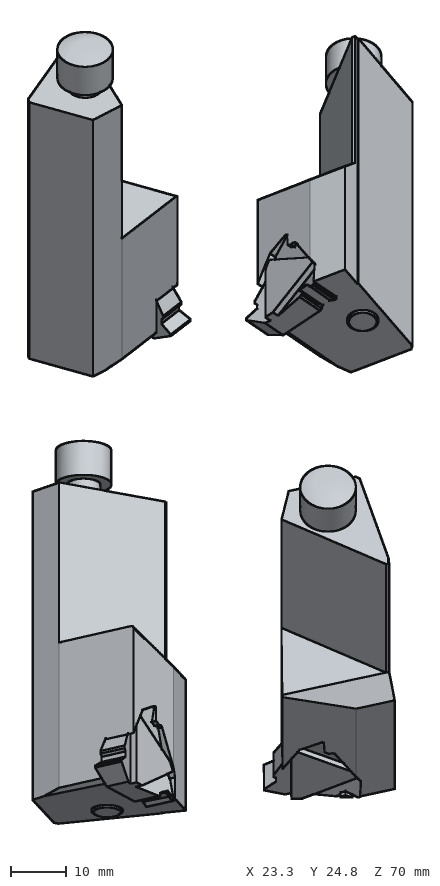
import cadquery as cq
import math

SETTING_ANGLE = 15.0
SIN_SET = math.sin(math.radians(SETTING_ANGLE))
COS_SET = math.cos(math.radians(SETTING_ANGLE))
TAN_SET = math.tan(math.radians(SETTING_ANGLE))

HOLDER_DEPTH = 24.8
HOLDER_TOP = 60.1
FRONT_RIGHT_X = 13.1
WALL_START = (16.1, 6.0)
REAR_FLAT_END_X = 7.4
EDGE_CHAMFER = 0.6
REAR_STEP_Y = 20.15
REAR_STEP = 0.2

LEDGE_Z = 29.5
LEDGE_REAR_Y = 21.1
DIAGONAL_LEFT_X = 0.85

BOTTOM_FRONT_Z = 1.05
BOTTOM_REAR_Z = 0.7
BEVEL_WIDTH = 1.2
BEVEL_TOP_Z = 1.6

SCREW_CENTER = (8.0, 8.0)
NECK_DIAMETER = 6.0
HEAD_DIAMETER = 10.0
HEAD_BOTTOM = 62.4
HEAD_EDGE = 68.9
HEAD_CROWN = 70.0

CLAMP_CENTER = (4.3, 11.2)
CLAMP_DIAMETER = 5.7
CLAMP_LOW_Z = 0.5
CLAMP_CHAMFER = 0.35
CLAMP_ROOT_Z = 2.1

INSCRIBED_RADIUS = 6.4
INSERT_THICKNESS = 5.7
CUTTING_TIP = (23.3, REAR_STEP_Y)
NOSE_INSET = 3.6
NOSE_LOW = 5.7
GROOVE_INSET = 4.0
GROOVE_HIGH = 5.2
GROOVE_LOW = 4.2
TIP_INSET = 1.8
TIP_HIGH = 2.8
TIP_LOW = 2.45
FLANK_INSET = 5.6
CHIP_POCKET_LENGTH = 4.9
CORNER_TURNS = (0, -120, -240)

MARGIN = 7.0

WALL_RUN_Y = HOLDER_DEPTH + REAR_FLAT_END_X * TAN_SET - WALL_START[1]
RIGHT_CORNER_X = (WALL_START[0] + WALL_RUN_Y * TAN_SET) / (1 + TAN_SET ** 2)
RIGHT_CORNER_Y = HOLDER_DEPTH - (RIGHT_CORNER_X - REAR_FLAT_END_X) * TAN_SET
TIP_X = math.sqrt(3) * INSCRIBED_RADIUS - TIP_INSET


def insert_plane():
    """Rake face plane, centred on the insert: local x to the tip, local y up, normal to the front."""
    origin = (CUTTING_TIP[0] - TIP_X * COS_SET, CUTTING_TIP[1] + TIP_X * SIN_SET, INSCRIBED_RADIUS)
    return cq.Plane(origin=origin, xDir=(COS_SET, -SIN_SET, 0), normal=(-SIN_SET, -COS_SET, 0))


def insert_outline():
    """Points of the triangle with one partial thread profile at each corner, going clockwise."""
    corner_x = math.sqrt(3) * INSCRIBED_RADIUS
    nose_high = NOSE_INSET * math.sqrt(3)
    corner = [
        (NOSE_INSET, nose_high),
        (NOSE_INSET, NOSE_LOW),
        (GROOVE_INSET, GROOVE_HIGH),
        (GROOVE_INSET, GROOVE_LOW),
        (TIP_INSET, TIP_HIGH),
        (TIP_INSET, TIP_LOW),
        (FLANK_INSET, 0),
    ]
    points = []
    for turn in CORNER_TURNS:
        cos_turn = math.cos(math.radians(turn))
        sin_turn = math.sin(math.radians(turn))
        for inset, height in corner:
            x = corner_x - inset
            y = height - INSCRIBED_RADIUS
            points.append((x * cos_turn - y * sin_turn, x * sin_turn + y * cos_turn))
    return points


def insert_prism(behind=0.0):
    """The insert outline from its front face to a given distance behind its rake plane."""
    return (
        cq.Workplane(insert_plane())
        .workplane(offset=-behind)
        .polyline(insert_outline())
        .close()
        .extrude(INSERT_THICKNESS + behind)
    )


def chip_pockets():
    """Wedges that sink the rake face inward from each cutting tip."""
    plane = insert_plane()
    pocket_end_x = TIP_X - CHIP_POCKET_LENGTH
    floor_depth = CHIP_POCKET_LENGTH * TAN_SET
    wedge = (
        cq.Workplane("XZ")
        .polyline([(TIP_X, 0), (pocket_end_x, floor_depth), (pocket_end_x, 0)])
        .close()
        .extrude(INSCRIBED_RADIUS, both=True)
    )
    pockets = cq.Workplane("XY")
    for turn in CORNER_TURNS:
        turned = wedge.rotate((0, 0, 0), (0, 0, 1), turn)
        pockets = pockets.add(turned.val().moved(plane.location))
    return pockets


def make_insert():
    insert = insert_prism()
    for pocket in chip_pockets().vals():
        insert = insert.cut(cq.Workplane(obj=pocket))
    return insert


def shank():
    """Full-height prism with the chamfered front edge and the relieved rear part of the left side."""
    outline = [
        (EDGE_CHAMFER, 0),
        (FRONT_RIGHT_X, 0),
        WALL_START,
        (RIGHT_CORNER_X, RIGHT_CORNER_Y),
        (REAR_FLAT_END_X, HOLDER_DEPTH),
        (REAR_STEP, HOLDER_DEPTH),
        (REAR_STEP, REAR_STEP_Y),
        (0, REAR_STEP_Y),
        (0, EDGE_CHAMFER),
    ]
    return cq.Workplane("XY").polyline(outline).close().extrude(HOLDER_TOP)


def shoulder_cut():
    """Space above the ledge, behind the diagonal face and the ledge's rear edge."""
    corner = (WALL_START[0] + MARGIN, WALL_START[1])
    outline = [
        WALL_START,
        corner,
        (corner[0], LEDGE_REAR_Y + MARGIN),
        (-MARGIN, LEDGE_REAR_Y + MARGIN),
        (-MARGIN, LEDGE_REAR_Y),
        (DIAGONAL_LEFT_X, LEDGE_REAR_Y),
    ]
    return (
        cq.Workplane("XY")
        .workplane(offset=LEDGE_Z)
        .polyline(outline)
        .close()
        .extrude(HOLDER_TOP - LEDGE_Z)
    )


def rear_slope_cut():
    """45-degree slope from the ledge down to the rear wall."""
    section = [
        (LEDGE_REAR_Y, LEDGE_Z),
        (LEDGE_REAR_Y + MARGIN, LEDGE_Z - MARGIN),
        (LEDGE_REAR_Y + MARGIN, LEDGE_Z),
    ]
    return cq.Workplane("YZ").polyline(section).close().extrude(RIGHT_CORNER_X)


def underside_cut():
    """Slightly tilted underside."""
    section = [(0, 0), (HOLDER_DEPTH, 0), (HOLDER_DEPTH, BOTTOM_REAR_Z), (0, BOTTOM_FRONT_Z)]
    return cq.Workplane("YZ").polyline(section).close().extrude(RIGHT_CORNER_X)


def bevel_cut():
    """Bevel along the lower edge of the turned right wall."""
    plane = cq.Plane(
        origin=(WALL_START[0], WALL_START[1], 0),
        xDir=(COS_SET, -SIN_SET, 0),
        normal=(-SIN_SET, -COS_SET, 0),
    )
    section = [
        (-BEVEL_WIDTH, 0),
        (-BEVEL_WIDTH, BOTTOM_REAR_Z),
        (0, BEVEL_TOP_Z),
        (MARGIN, BEVEL_TOP_Z),
        (MARGIN, 0),
    ]
    return cq.Workplane(plane).polyline(section).close().extrude(HOLDER_DEPTH, both=True)


def adjusting_screw():
    """Neck and domed head, turned about the screw axis."""
    neck_radius = NECK_DIAMETER / 2
    head_radius = HEAD_DIAMETER / 2
    crown_height = HEAD_CROWN - HEAD_EDGE
    dome_radius = (head_radius ** 2 + crown_height ** 2) / (2 * crown_height)
    mid_x = head_radius / 2
    mid_z = HEAD_CROWN - dome_radius + math.sqrt(dome_radius ** 2 - mid_x ** 2)
    return (
        cq.Workplane("XZ")
        .moveTo(0, HOLDER_TOP)
        .lineTo(neck_radius, HOLDER_TOP)
        .lineTo(neck_radius, HEAD_BOTTOM)
        .lineTo(head_radius, HEAD_BOTTOM)
        .lineTo(head_radius, HEAD_EDGE)
        .threePointArc((mid_x, mid_z), (0, HEAD_CROWN))
        .close()
        .revolve(360, (0, 0, 0), (0, 1, 0))
        .translate((SCREW_CENTER[0], SCREW_CENTER[1], 0))
    )


def clamp_screw_end():
    return (
        cq.Workplane("XY")
        .workplane(offset=CLAMP_LOW_Z)
        .center(*CLAMP_CENTER)
        .circle(CLAMP_DIAMETER / 2)
        .extrude(CLAMP_ROOT_Z - CLAMP_LOW_Z)
        .faces("<Z")
        .chamfer(CLAMP_CHAMFER)
    )


def make_holder():
    holder = shank().cut(shoulder_cut()).cut(rear_slope_cut()).cut(underside_cut()).cut(bevel_cut())
    holder = holder.union(adjusting_screw()).union(clamp_screw_end())
    return holder.cut(insert_prism(behind=MARGIN))


holder = make_holder()
insert = make_insert()

result = cq.Compound.makeCompound([holder.solids().val(), insert.solids().val()])